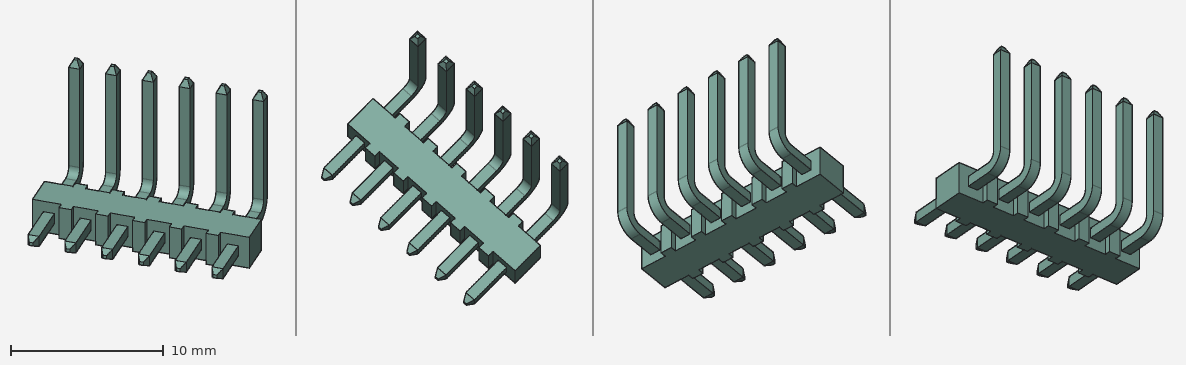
import cadquery as cq


housing_length = 14.99
housing_depth = 2.43
housing_height = 2.35
rib_width = 0.85
rib_span = 3.3

pin_count = 6
end_margin = 1.14
pin_width = 0.76
front_reach = 4.8
back_reach = 4.65
total_height = 10.16
bend_inner_radius = 0.63
tip_length = 0.5
tip_width = 0.25

pitch = (housing_length - 2 * end_margin) / (pin_count - 1)
first_pin_x = -housing_length / 2 + end_margin
half_pin = pin_width / 2
bend_radius = bend_inner_radius + half_pin
leg_y = back_reach - half_pin
tip_z = total_height - housing_height / 2


def make_housing():
    """Block centered on the origin, with a rib midway between neighboring pins."""
    housing = cq.Workplane("XY").box(housing_length, housing_depth, housing_height)
    for gap in range(pin_count - 1):
        rib_x = first_pin_x + (gap + 0.5) * pitch
        rib = cq.Workplane("XY").box(rib_width, rib_span, housing_height)
        housing = housing.union(rib.translate((rib_x, 0, 0)))
    return housing


def make_tip(base_plane):
    """Blunt four-sided point growing along the normal of base_plane."""
    return (
        cq.Workplane(base_plane)
        .rect(pin_width, pin_width)
        .workplane(offset=tip_length)
        .rect(tip_width, tip_width)
        .loft(ruled=True)
    )


def make_pin():
    """Square wire with its horizontal leg on the Y axis, rounded bend and two points."""
    front_shoulder_y = -front_reach + tip_length
    top_shoulder_z = tip_z - tip_length
    front_plane = cq.Plane(origin=(0, front_shoulder_y, 0), xDir=(1, 0, 0), normal=(0, -1, 0))
    top_plane = cq.Plane(origin=(0, leg_y, top_shoulder_z), xDir=(1, 0, 0), normal=(0, 0, 1))
    path = (
        cq.Workplane("YZ")
        .moveTo(front_shoulder_y, 0)
        .lineTo(leg_y - bend_radius, 0)
        .radiusArc((leg_y, bend_radius), -bend_radius)
        .lineTo(leg_y, top_shoulder_z)
    )
    wire = cq.Workplane(front_plane).rect(pin_width, pin_width).sweep(path)
    return wire.union(make_tip(front_plane)).union(make_tip(top_plane))


header = make_housing()
pin = make_pin()
for index in range(pin_count):
    header = header.union(pin.translate((first_pin_x + index * pitch, 0, 0)))

result = header